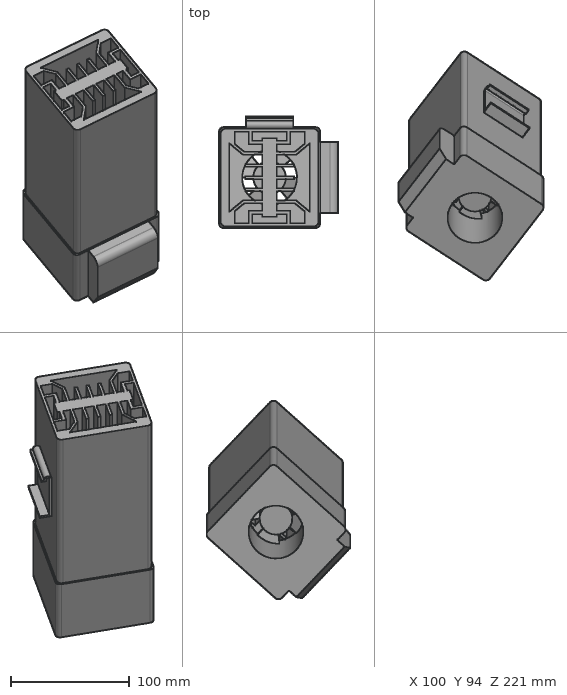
import cadquery as cq
import math

total_width = 100.0
total_depth = 94.0
total_height = 221.0

base_width = 85.0
base_height = 59.7
corner_radius = 4.2

tower_width = 82.2
tower_height = total_height - base_height

spine_half_width = 6.2
spine_half_length = 33.0
end_pocket_half_width = 14.5
pocket_outer_y = 38.5
end_pocket_inner_y = 31.0
corner_pocket_outer_x = 29.5
corner_pocket_inner_x = 17.5
corner_pocket_step_y = 27.8
corner_pocket_inner_y = 21.7
corner_pocket_slant_x = 21.2
corner_pocket_slant_y = 28.3
channel_outer_x = 33.8
channel_outer_y = 28.7
channel_slant_x = 22.3
channel_inner_y = 19.2

fin_thickness = 2.5
fin_half_length = 20.5
fin_pitch = 10.2
fin_count = 3

fan_radius = 23.0
hub_radius = 13.7
fan_height = 13.3
fan_recess = 2.2
blade_count = 4
blade_span = 50.0
blade_thickness = 2.0
blade_tilt = 20.0

tip_overlap = 0.5

box_reach = total_width - base_width / 2
box_width = 59.9
box_height = 60.0
box_round = 6.9
box_slant_width = 6.6
box_slant_height = 13.5

clip_width = 40.0
clip_sheet = 2.0
clip_foot_reach = total_depth - base_width / 2
clip_foot_z = 117.5
clip_hook_radius = 3.3
clip_hook_z = 159.8
clip_lip_reach = 50.0


def rounded_block(width, height, z):
    block = cq.Workplane("XY").workplane(offset=z).rect(width, width).extrude(height)
    return block.edges("|Z").fillet(corner_radius)


def passage(points):
    """Prism from the top of the base to the top of the tower."""
    return cq.Workplane("XY").workplane(offset=base_height).polyline(points).close().extrude(tower_height)


def passage_box(x_min, x_max, y_min, y_max):
    return passage([(x_min, y_min), (x_max, y_min), (x_max, y_max), (x_min, y_max)])


def end_pocket():
    pocket = passage_box(-end_pocket_half_width, end_pocket_half_width, end_pocket_inner_y, pocket_outer_y)
    spine_end = passage_box(-spine_half_width, spine_half_width, 0, spine_half_length)
    return pocket.cut(spine_end)


def corner_pocket():
    return passage([
        (spine_half_width, corner_pocket_inner_y),
        (corner_pocket_slant_x, corner_pocket_inner_y),
        (corner_pocket_outer_x, corner_pocket_slant_y),
        (corner_pocket_outer_x, pocket_outer_y),
        (corner_pocket_inner_x, pocket_outer_y),
        (corner_pocket_inner_x, corner_pocket_step_y),
        (spine_half_width, corner_pocket_step_y),
    ])


def finned_channel():
    channel = passage([
        (spine_half_width, -channel_inner_y),
        (channel_slant_x, -channel_inner_y),
        (channel_outer_x, -channel_outer_y),
        (channel_outer_x, channel_outer_y),
        (channel_slant_x, channel_inner_y),
        (spine_half_width, channel_inner_y),
    ])
    for index in range(fin_count):
        fin_y = (index - (fin_count - 1) / 2) * fin_pitch
        fin = passage_box(0, fin_half_length, fin_y - fin_thickness / 2, fin_y + fin_thickness / 2)
        channel = channel.cut(fin)
    return channel


def tower():
    body = rounded_block(tower_width, tower_height, base_height)
    for pocket in (end_pocket(), corner_pocket(), corner_pocket().mirror("YZ")):
        body = body.cut(pocket).cut(pocket.mirror("XZ"))
    channel = finned_channel()
    return body.cut(channel).cut(channel.mirror("YZ"))


def fan_blade():
    """Flat blade falling away from its upper edge, which lies on the X axis."""
    rim = fan_radius + tip_overlap
    span = math.radians(blade_span)
    half_span = span / 2
    sector = (
        cq.Workplane("XY")
        .lineTo(rim * math.cos(span), -rim * math.sin(span))
        .threePointArc((rim * math.cos(half_span), -rim * math.sin(half_span)), (rim, 0))
        .close()
        .extrude(-fan_height)
    )
    sheet = (
        cq.Workplane("XY")
        .box(4 * rim, 4 * rim, blade_thickness)
        .translate((0, 0, -blade_thickness / 2))
        .rotate((0, 0, 0), (1, 0, 0), blade_tilt)
    )
    return sector.intersect(sheet)


def fan():
    """Hub and blades hanging from the XY plane."""
    rotor = cq.Workplane("XY").circle(hub_radius).extrude(-fan_height)
    blade = fan_blade()
    for index in range(blade_count):
        rotor = rotor.union(blade.rotate((0, 0, 0), (0, 0, 1), index * 360 / blade_count))
    return rotor


def base():
    block = rounded_block(base_width, base_height, 0)
    bore = cq.Workplane("XY").circle(fan_radius).extrude(base_height)
    return block.cut(bore).union(fan().translate((0, 0, base_height - fan_recess)))


def connection_box():
    inner_x = base_width / 2
    return (
        cq.Workplane("XZ")
        .moveTo(inner_x, 0)
        .lineTo(box_reach - box_slant_width, 0)
        .lineTo(box_reach, box_slant_height)
        .lineTo(box_reach, box_height - box_round)
        .radiusArc((box_reach - box_round, box_height), -box_round)
        .lineTo(inner_x, box_height)
        .close()
        .extrude(box_width / 2, both=True)
    )


def rail_clip():
    wall_y = tower_width / 2
    sheet_y = wall_y + clip_sheet
    hook_y = wall_y + clip_hook_radius
    hook_bore = clip_hook_radius - clip_sheet
    lip_z = clip_hook_z - clip_sheet
    return (
        cq.Workplane("YZ")
        .moveTo(wall_y, clip_foot_z)
        .lineTo(clip_foot_reach, clip_foot_z)
        .lineTo(clip_foot_reach, clip_foot_z + clip_sheet)
        .lineTo(sheet_y, clip_foot_z + clip_sheet)
        .lineTo(sheet_y, clip_hook_z)
        .threePointArc((hook_y, clip_hook_z + hook_bore), (hook_y + hook_bore, clip_hook_z))
        .lineTo(hook_y + hook_bore, lip_z)
        .lineTo(clip_lip_reach, lip_z)
        .lineTo(clip_lip_reach, clip_hook_z)
        .lineTo(hook_y + clip_hook_radius, clip_hook_z)
        .threePointArc((hook_y, clip_hook_z + clip_hook_radius), (wall_y, clip_hook_z))
        .close()
        .extrude(clip_width / 2, both=True)
    )


result = base().union(tower()).union(connection_box()).union(rail_clip())